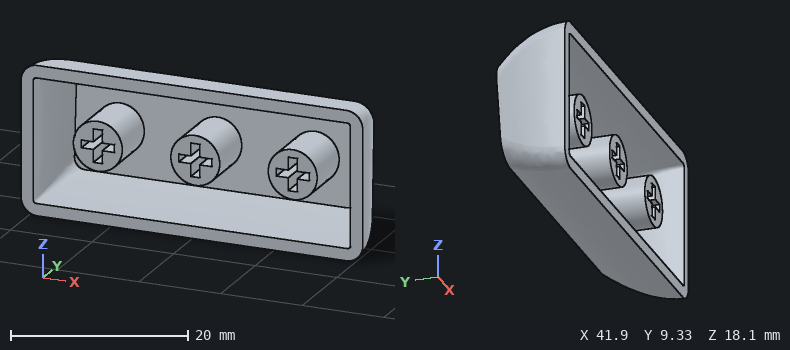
import cadquery as cq

BASE_LENGTH = 41.9
BASE_WIDTH = 18.1
BASE_RADIUS = 2.0
CROWN_LENGTH = 36.45
CROWN_WIDTH = 12.65
CROWN_RADIUS = 2.72
CROWN_TILT = 3.6
CROWN_HEIGHT = 8.93

RIM_WALL = 1.5
CAVITY_RADIUS = 0.4
FLOOR_LENGTH = 34.8
FLOOR_WIDTH = 10.9
FLOOR_RADIUS = 1.35
CROWN_THICKNESS = 1.55

MID_HEIGHT_SHARE = 0.5
MID_TAPER_SHARE = MID_HEIGHT_SHARE**2

STEM_DIAMETER = 6.0
STEM_SPACING = 11.95
STEM_COUNT = 3
STEM_RECESS = 1.0
CROSS_SPAN = 4.02
CROSS_ARM_X = 0.92
CROSS_ARM_Z = 1.1

FLOOR_HEIGHT = CROWN_HEIGHT - CROWN_THICKNESS
UPRIGHT_TURN = 90


def blend(start, end, share):
    return start + (end - start) * share


def section(size, height, tilt):
    """Rounded rectangle (length, width, radius) at a height along Y, tilted about X."""
    length, width, radius = size
    outline = cq.Sketch().rect(length, width).vertices().fillet(radius)
    x_axis = cq.Vector(1, 0, 0)
    return outline.moved(cq.Location(cq.Vector(0, height, 0), x_axis, UPRIGHT_TURN - tilt))


def bulged_block(base, top, height, tilt):
    """Block whose curved walls narrow from the base section to the tilted top section."""
    middle = [blend(b, t, MID_TAPER_SHARE) for b, t in zip(base, top)]
    sections = [
        section(base, 0, 0),
        section(middle, height * MID_HEIGHT_SHARE, tilt * MID_HEIGHT_SHARE),
        section(top, height, tilt),
    ]
    return cq.Workplane().placeSketch(*sections).loft()


def make_cavity():
    rim_opening = (BASE_LENGTH - 2 * RIM_WALL, BASE_WIDTH - 2 * RIM_WALL, CAVITY_RADIUS)
    floor = (FLOOR_LENGTH, FLOOR_WIDTH, FLOOR_RADIUS)
    return bulged_block(rim_opening, floor, FLOOR_HEIGHT, CROWN_TILT)


def make_shell(cavity):
    base = (BASE_LENGTH, BASE_WIDTH, BASE_RADIUS)
    crown = (CROWN_LENGTH, CROWN_WIDTH, CROWN_RADIUS)
    return bulged_block(base, crown, CROWN_HEIGHT, CROWN_TILT).cut(cavity)


def make_stem(x, cavity):
    """Post with a cross socket running its full length, ending flush on the tilted floor."""
    start = cq.Workplane("XZ", origin=(x, STEM_RECESS, 0))
    post = start.circle(STEM_DIAMETER / 2).extrude(-CROWN_HEIGHT)
    arm_x = start.rect(CROSS_SPAN, CROSS_ARM_X).extrude(-CROWN_HEIGHT)
    arm_z = start.rect(CROSS_ARM_Z, CROSS_SPAN).extrude(-CROWN_HEIGHT)
    return post.cut(arm_x).cut(arm_z).intersect(cavity)


cavity = make_cavity()
shell = make_shell(cavity)
stems = []
for index in range(STEM_COUNT):
    stem_x = (index - (STEM_COUNT - 1) / 2) * STEM_SPACING
    stems.append(make_stem(stem_x, cavity))

result = cq.Compound.makeCompound([shell.val(), *[stem.val() for stem in stems]])